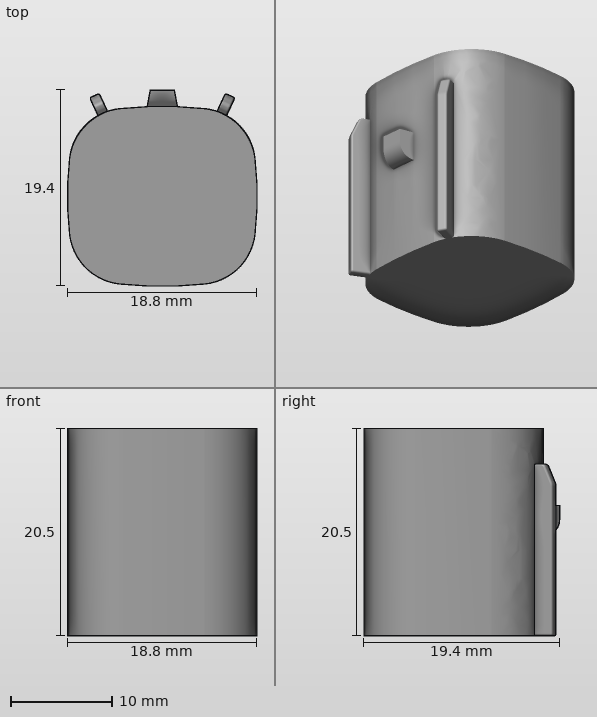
import cadquery as cq

body_width = 18.78
body_depth = 17.8
body_height = 20.5
front_back_radius = 40.0
side_radius = 32.5
corner_radius = 5.6
back_wall_y = body_depth / 2

fin_angle = 25.0
fin_thickness = 1.05
fin_height = 17.0
fin_length = 3.0
fin_tip_x = 6.71
fin_tip_y = 9.96
fin_slope_length = 0.9
fin_slope_height = 2.0
fin_upper_radius = 0.5
fin_lower_radius = 1.0
fin_edge_radius = 0.2

catch_base_width = 3.0
catch_tip_width = 2.4
catch_projection = 1.59
catch_top = 12.9
catch_height = 3.0
catch_underside_radius = 1.6
catch_overlap = 1.0


def wall_cylinder(radius, x, y):
    return cq.Workplane("XY").center(x, y).circle(radius).extrude(body_height)


def make_body():
    """Intersect four large cylinders, one per bulged wall, and round the corners."""
    x_offset = side_radius - body_width / 2
    y_offset = front_back_radius - body_depth / 2
    block = wall_cylinder(front_back_radius, 0, y_offset)
    block = block.intersect(wall_cylinder(front_back_radius, 0, -y_offset))
    block = block.intersect(wall_cylinder(side_radius, x_offset, 0))
    block = block.intersect(wall_cylinder(side_radius, -x_offset, 0))
    return block.edges("|Z").fillet(corner_radius)


def round_cross_edge(plate, y, z, radius):
    """Round the edge that crosses the plate's thickness at the given y and z."""
    cross_edges = plate.edges("|X")
    return cross_edges.edges(cq.NearestToPointSelector((0, y, z))).fillet(radius)


def make_fin(side):
    """Plate with a sloped upper tip; side is -1 for the -X fin and +1 for the +X fin."""
    slope_bottom = fin_height - fin_slope_height
    plate = (
        cq.Workplane("YZ")
        .moveTo(-fin_length, 0)
        .lineTo(0, 0)
        .lineTo(0, slope_bottom)
        .lineTo(-fin_slope_length, fin_height)
        .lineTo(-fin_length, fin_height)
        .close()
        .extrude(fin_thickness / 2, both=True)
    )
    plate = round_cross_edge(plate, -fin_slope_length, fin_height, fin_upper_radius)
    plate = round_cross_edge(plate, 0, slope_bottom, fin_lower_radius)

    root_edges = plate.faces("<Y").edges().vals()
    outer_edges = []
    for edge in plate.edges().vals():
        if not any(edge.isSame(root_edge) for root_edge in root_edges):
            outer_edges.append(edge)
    plate = plate.newObject(outer_edges).fillet(fin_edge_radius)

    splayed = plate.rotate((0, 0, 0), (0, 0, 1), -side * fin_angle)
    return splayed.translate((side * fin_tip_x, fin_tip_y, 0))


def make_catch():
    """Lug narrowing towards its tip, with a rounded lower edge at the tip."""
    root_y = back_wall_y - catch_overlap
    tip_y = back_wall_y + catch_projection
    taper = (catch_base_width - catch_tip_width) / 2 / catch_projection
    root_half_width = catch_base_width / 2 + taper * catch_overlap
    tip_half_width = catch_tip_width / 2
    lug = (
        cq.Workplane("XY", origin=(0, 0, catch_top - catch_height))
        .moveTo(-root_half_width, root_y)
        .lineTo(root_half_width, root_y)
        .lineTo(tip_half_width, tip_y)
        .lineTo(-tip_half_width, tip_y)
        .close()
        .extrude(catch_height)
    )
    return lug.faces(">Y").edges("<Z").fillet(catch_underside_radius)


result = make_body().union(make_catch())
for fin_side in (-1, 1):
    result = result.union(make_fin(fin_side))